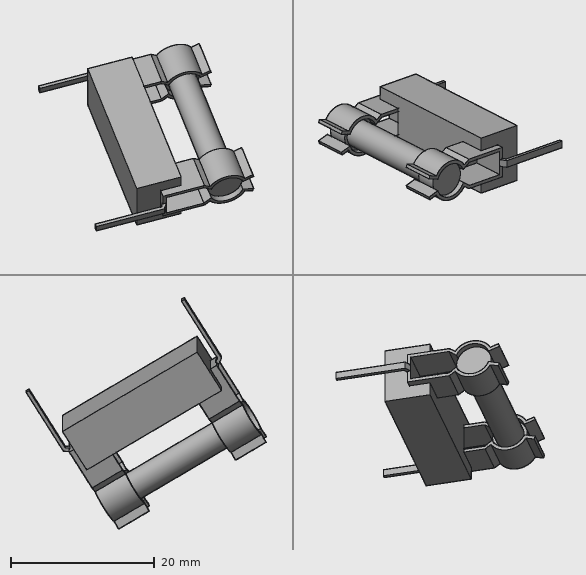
import cadquery as cq
import math


cap_radius = 2.5
tube_radius = 2.05
cap_half_span = 11.2
cap_length = 3.1
cap_inner_x = cap_half_span - cap_length

strip = 0.5
clip_half_span = 12.07
clip_width = 5.0
clip_inner_x = clip_half_span - clip_width
ring_radius = cap_radius + strip
arm_z = 2.28
arm_inner_z = arm_z - strip
back_y = -9.4
back_inner_y = back_y + strip
bend_y = -3.32
bend_inner_y = -3.4
neck_z = 1.68
neck_inner_z = 0.98
lip_z = 1.48
lip_inner_z = 0.88
lip_tip_y = 3.94
lip_tip_z = 1.4
lip_angle = math.radians(19)

lead_half_span = 12.95
lead_inner_x = lead_half_span - strip
lead_end_y = -19.5
lead_height = 1.04
lead_bend_y = -9.5
lead_bend_inner_y = -9.76
lead_root_overlap = 0.15
lead_root_y = -9.48

housing_length = 22.07
housing_height = 8.5
housing_front_y = -6.4
housing_back_y = -12.92
housing_z = -0.03


def on_circle(radius, z, side):
    """Point at height z on a circle about the fuse axis; side is +1 or -1 in Y."""
    return side * math.sqrt(radius**2 - z**2), z


def clip_jaw():
    """Upper half of a clip: back plate half, arm, neck, ring arc and lip."""
    tip_outer = (
        lip_tip_y - strip * math.sin(lip_angle),
        lip_tip_z + strip * math.cos(lip_angle),
    )
    return (
        cq.Workplane("YZ", origin=(clip_inner_x, 0, 0))
        .moveTo(back_y, 0)
        .lineTo(back_y, arm_z)
        .lineTo(bend_y, arm_z)
        .lineTo(*on_circle(ring_radius, neck_z, -1))
        .threePointArc((0, ring_radius), on_circle(ring_radius, lip_z, 1))
        .lineTo(*tip_outer)
        .lineTo(lip_tip_y, lip_tip_z)
        .lineTo(*on_circle(cap_radius, lip_inner_z, 1))
        .threePointArc((0, cap_radius), on_circle(cap_radius, neck_inner_z, -1))
        .lineTo(bend_inner_y, arm_inner_z)
        .lineTo(back_inner_y, arm_inner_z)
        .lineTo(back_inner_y, 0)
        .close()
        .extrude(clip_width)
    )


def lead():
    """Flat lead: slanted out from the clip's back plate, then straight to -Y."""
    root_x = clip_half_span - lead_root_overlap
    return (
        cq.Workplane("XY", origin=(0, 0, -lead_height / 2))
        .moveTo(root_x, lead_root_y)
        .lineTo(lead_inner_x, lead_bend_inner_y)
        .lineTo(lead_inner_x, lead_end_y)
        .lineTo(lead_half_span, lead_end_y)
        .lineTo(lead_half_span, lead_bend_y)
        .lineTo(clip_half_span, back_inner_y)
        .lineTo(root_x, back_inner_y)
        .close()
        .extrude(lead_height)
    )


def make_clip(side):
    """One spring clip with its lead, at the +X or -X end."""
    jaw = clip_jaw()
    clip = jaw.union(jaw.mirror("XY")).union(lead())
    return clip if side > 0 else clip.mirror("YZ")


def make_cap(side):
    """Solid metal end cap, gripped by a clip."""
    cap = (
        cq.Workplane("YZ", origin=(cap_inner_x, 0, 0))
        .circle(cap_radius)
        .extrude(cap_length)
    )
    return cap if side > 0 else cap.mirror("YZ")


def make_tube():
    """Fuse barrel between the two caps."""
    return (
        cq.Workplane("YZ", origin=(-cap_inner_x, 0, 0))
        .circle(tube_radius)
        .extrude(2 * cap_inner_x)
    )


def make_housing():
    """Block with a pocket at each end that takes a clip and is open between its arms."""
    depth = housing_front_y - housing_back_y
    middle_y = (housing_front_y + housing_back_y) / 2
    housing = (
        cq.Workplane("XY")
        .box(housing_length, depth, housing_height)
        .translate((0, middle_y, housing_z))
    )
    for side in ends:
        pocket = (
            cq.Workplane("XY")
            .box(clip_width, -back_y, 2 * arm_z)
            .translate((side * (clip_half_span - clip_width / 2), back_y / 2, 0))
        )
        housing = housing.cut(pocket)
    return housing


ends = (-1, 1)
clips = [make_clip(side) for side in ends]
caps = [make_cap(side) for side in ends]
tube = make_tube()
housing = make_housing()

result = cq.Compound.makeCompound([
    housing.val(),
    tube.val(),
    *[clip.val() for clip in clips],
    *[cap.val() for cap in caps],
])